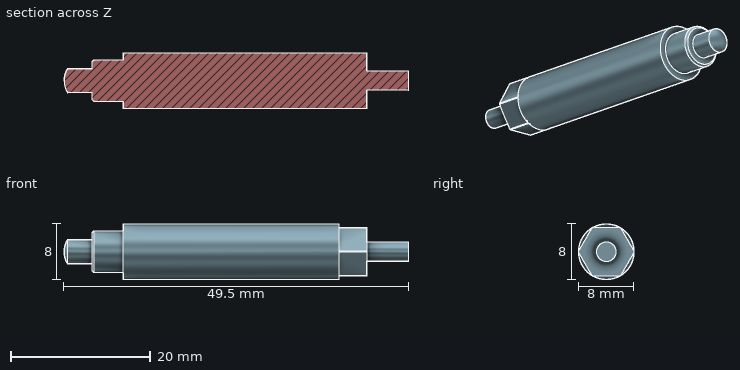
import math

import cadquery as cq

tip_height = 0.5
plunger_length = 4.0
collar_length = 4.5
body_length = 31.0
hex_length = 4.0
stem_length = 6.0

plunger_diameter = 3.5
collar_diameter = 6.0
body_diameter = 8.0
hex_across_flats = 7.0
stem_diameter = 2.8
collar_chamfer = 0.3

total_length = plunger_length + collar_length + body_length + hex_length + stem_length
tip_x = -total_length / 2
collar_x = tip_x + plunger_length
body_x = collar_x + collar_length
hex_x = body_x + body_length
stem_x = hex_x + hex_length


def section_plane(x):
    """YZ workplane at the given station, facing +X."""
    return cq.Workplane("YZ", origin=(x, 0, 0))


def cylinder(x, diameter, length):
    return section_plane(x).circle(diameter / 2).extrude(length)


def plunger():
    """Round pin with a shallow spherical tip, revolved about the X axis."""
    radius = plunger_diameter / 2
    shoulder_x = tip_x + tip_height
    sphere_radius = (radius**2 + tip_height**2) / (2 * tip_height)
    mid_radius = radius / 2
    sphere_center_x = tip_x + sphere_radius
    mid_x = sphere_center_x - math.sqrt(sphere_radius**2 - mid_radius**2)
    profile = (
        cq.Workplane("XY")
        .moveTo(tip_x, 0)
        .threePointArc((mid_x, mid_radius), (shoulder_x, radius))
        .lineTo(collar_x, radius)
        .lineTo(collar_x, 0)
        .close()
    )
    return profile.revolve(360, (0, 0, 0), (1, 0, 0))


def collar():
    """Collar with a chamfered front edge."""
    return cylinder(collar_x, collar_diameter, collar_length).faces("<X").chamfer(collar_chamfer)


def hexagon():
    """Hexagonal end, flats facing up and down, its corners trimmed flush with the body."""
    across_corners = hex_across_flats / math.cos(math.pi / 6)
    prism = section_plane(hex_x).polygon(6, across_corners).extrude(hex_length)
    return prism.intersect(cylinder(hex_x, body_diameter, hex_length))


body = cylinder(body_x, body_diameter, body_length)
stem = cylinder(stem_x, stem_diameter, stem_length)

result = plunger().union(collar()).union(body).union(hexagon()).union(stem)